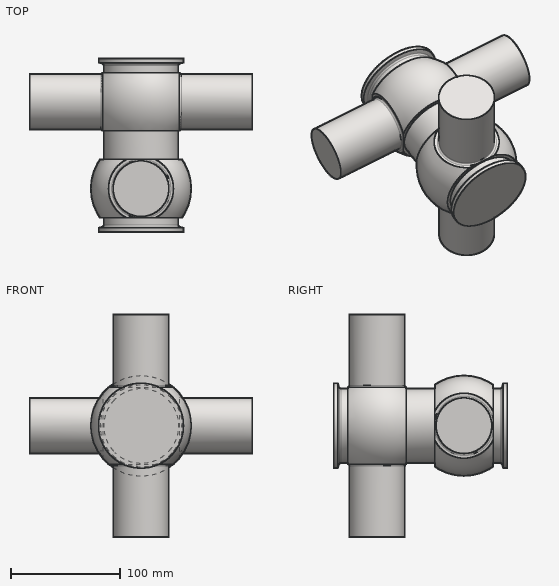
import cadquery as cq
import math

body_length = 159.0
neck_radius = 34.3
flange_radius = 39.0
flange_rim_thickness = 3.9
flange_root_thickness = 5.3
flange_fillet = 1.6

ball_radius = 46.0
ball_width = 53.5
ball_offset = body_length / 4

pipe_span = 204.0
pipe_radius = 25.5
pipe_fillet = 1.6

seat_radius = 29.8
seat_height = math.sqrt(ball_radius**2 - seat_radius**2)


def make_flange():
    """Flange at the +Y end, with a sloping back face filleted into the neck."""
    end = body_length / 2
    root = end - flange_root_thickness
    slope = math.atan2(flange_root_thickness - flange_rim_thickness, flange_radius - neck_radius)
    setback = flange_fillet * math.tan((math.pi / 2 - slope) / 2)
    profile = (
        cq.Workplane("XY")
        .moveTo(0, ball_offset)
        .lineTo(neck_radius, ball_offset)
        .lineTo(neck_radius, root - setback)
        .tangentArcPoint(
            (neck_radius + setback * math.cos(slope), root + setback * math.sin(slope)),
            relative=False,
        )
        .lineTo(flange_radius, end - flange_rim_thickness)
        .lineTo(flange_radius, end)
        .lineTo(0, end)
        .close()
    )
    return profile.revolve(360, (0, 0, 0), (0, 1, 0))


def make_neck():
    """Neck joining the two ball centres, with a flange beyond each ball."""
    neck = cq.Workplane("XZ").circle(neck_radius).extrude(ball_offset, both=True)
    flange = make_flange()
    return neck.union(flange).union(flange.mirror("XZ"))


def make_branch_pair():
    """Two opposite pipes along Z, with a concave fillet where each meets its flat seat."""
    fillet_middle = pipe_fillet * (1 - math.sqrt(0.5))
    profile = (
        cq.Workplane("XZ")
        .lineTo(pipe_radius + pipe_fillet, 0)
        .lineTo(pipe_radius + pipe_fillet, seat_height)
        .threePointArc(
            (pipe_radius + fillet_middle, seat_height + fillet_middle),
            (pipe_radius, seat_height + pipe_fillet),
        )
        .lineTo(pipe_radius, pipe_span / 2)
        .lineTo(0, pipe_span / 2)
        .close()
    )
    half = profile.revolve(360, (0, 0, 0), (0, 1, 0))
    return half.union(half.mirror("XY"))


def make_cap_cutter():
    """Stock outside the flat seats, on both sides along Z."""
    size = 2 * ball_radius
    cap = cq.Workplane("XY").workplane(offset=seat_height).rect(size, size).extrude(ball_radius)
    return cap.union(cap.mirror("XY"))


def make_chamber():
    """Ball with its branch pair along Z, cut flat at both faces across Y."""
    ball = cq.Workplane("XY").sphere(ball_radius).cut(make_cap_cutter())
    slab = cq.Workplane("XY").box(pipe_span, ball_width, pipe_span)
    return ball.union(make_branch_pair()).intersect(slab)


chamber = make_chamber()
front_chamber = chamber.translate((0, -ball_offset, 0))
back_chamber = chamber.rotate((0, 0, 0), (0, 1, 0), 90).translate((0, ball_offset, 0))

result = make_neck().union(front_chamber).union(back_chamber)